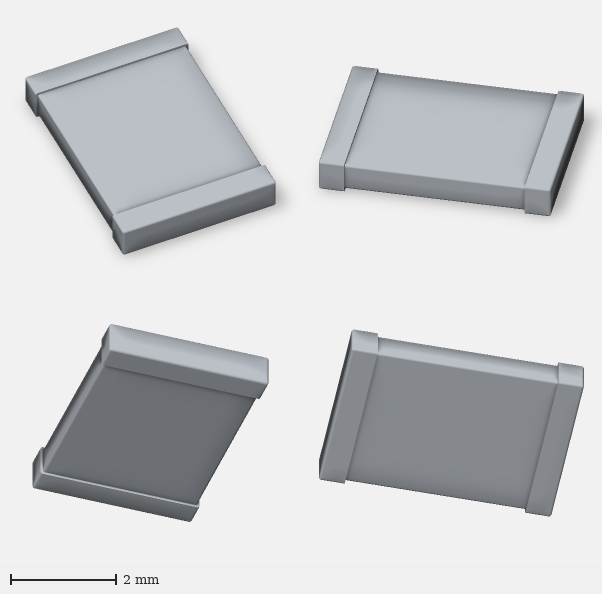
import cadquery as cq

LENGTH = 4.5
WIDTH = 3.2
HEIGHT = 0.65

TERMINAL_LENGTH = 0.5
EDGE_RADIUS = 0.05
TERMINAL_STEP = 0.05

BODY_LENGTH = LENGTH - 2 * TERMINAL_LENGTH
BODY_WIDTH = WIDTH - 2 * TERMINAL_STEP
BODY_HEIGHT = HEIGHT - 2 * TERMINAL_STEP


def make_body():
    """Central block with rounded long edges, ending flush against the terminals."""
    block = cq.Workplane("XY").box(BODY_LENGTH, BODY_WIDTH, BODY_HEIGHT)
    return block.edges("|X").fillet(EDGE_RADIUS)


def make_terminal(side):
    """End block on the -X (side = -1) or +X (side = 1) end, sharp only on its inner face."""
    center_x = side * (LENGTH - TERMINAL_LENGTH) / 2
    outer_face = ">X" if side > 0 else "<X"
    block = cq.Workplane("XY").box(TERMINAL_LENGTH, WIDTH, HEIGHT)
    rounded = block.edges(f"|X or {outer_face}").fillet(EDGE_RADIUS)
    return rounded.translate((center_x, 0, 0))


body = make_body()
terminals = [make_terminal(side) for side in (-1, 1)]

result = cq.Compound.makeCompound([body.val(), *[terminal.val() for terminal in terminals]])